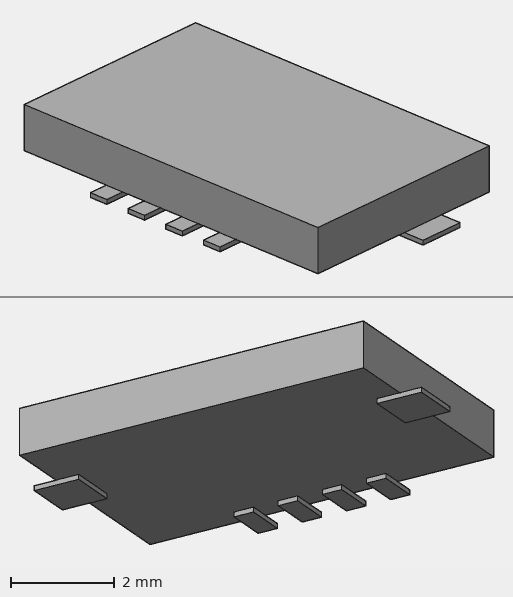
import cadquery as cq

overall_length = 8.76
overall_depth = 5.29
overall_height = 1.1

lead_thickness = 0.105
housing_length = 7.78
housing_depth = 4.84
housing_height = overall_height - lead_thickness
housing_front = -housing_depth / 2
housing_back = housing_depth / 2

pin_count = 4
pin_pitch = 1.0
pin_width = 0.44
pin_length = 0.89
pin_overhang = overall_depth - housing_depth

tab_length = 1.01
tab_width = 1.05
tab_back_inset = 1.35


def make_housing():
    """Plain block sitting on top of the pins and tabs."""
    return (
        cq.Workplane("XY")
        .box(housing_length, housing_depth, housing_height, centered=(True, True, False))
        .translate((0, 0, lead_thickness))
    )


def make_flat_lead(length_x, length_y, center_x, center_y):
    """Flat rectangular lead with its underside at Z = 0."""
    return (
        cq.Workplane("XY")
        .box(length_x, length_y, lead_thickness, centered=(True, True, False))
        .translate((center_x, center_y, 0))
    )


def make_pin(index):
    """Signal pin reaching out from under the front edge of the housing."""
    center_x = (index - (pin_count - 1) / 2) * pin_pitch
    center_y = housing_front - pin_overhang + pin_length / 2
    return make_flat_lead(pin_width, pin_length, center_x, center_y)


def make_tab(side):
    """Mounting tab reaching out from one end; side is -1 or +1 along X."""
    center_x = side * (overall_length - tab_length) / 2
    center_y = housing_back - tab_back_inset - tab_width / 2
    return make_flat_lead(tab_length, tab_width, center_x, center_y)


housing = make_housing()
pins = [make_pin(index) for index in range(pin_count)]
tabs = [make_tab(side) for side in (-1, 1)]

result = cq.Compound.makeCompound(
    [
        housing.val(),
        *[pin.val() for pin in pins],
        *[tab.val() for tab in tabs],
    ]
)